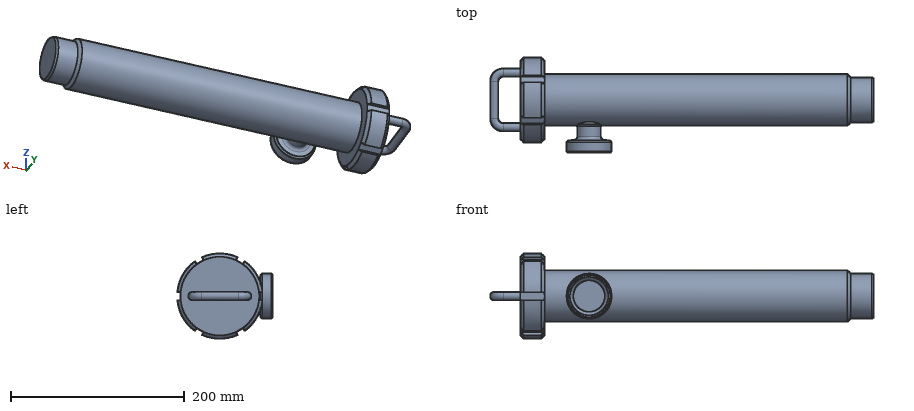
import cadquery as cq
import math

TOTAL_LENGTH = 442.0

TUBE_RADIUS = 59.5 / 2
TUBE_END = 411.5
SPIGOT_RADIUS = 26.0
SPIGOT_BEVEL_LENGTH = 2.5
SPIGOT_BEVEL_DEPTH = 1.5

NUT_START = 35.0
NUT_WIDTH = 28.0
NUT_RADIUS = 98.5 / 2
NUT_CHAMFER = 4.0
NUT_SLOTS = 6
SLOT_WIDTH = 9.5
SLOT_FLOOR_RADIUS = NUT_RADIUS - NUT_CHAMFER

ROD_RADIUS = 5.0
HANDLE_HALF_SPAN = 31.5
BEND_RADIUS = 10.0
ROD_EMBED = 2.0

BRANCH_X = 114.0
BRANCH_END = 61.0
NECK_RADIUS = 13.5
NECK_FILLET = 4.0
COLLAR_RADIUS = 16.5
COLLAR_END = 30.5
COLLAR_TAPER = 2.5
FLANGE_BACK = 46.0
FLANGE_RADIUS = 26.0
FLANGE_BACK_SLOPE = 0.5
FLANGE_SLOPE_RADIUS = 24.0
FLANGE_BACK_CHAMFER = 2.0
FLANGE_FRONT_CHAMFER = 1.8
RECESS_MOUTH_RADIUS = 22.0
RECESS_FLOOR_RADIUS = 18.0
RECESS_DEPTH = 4.5


def make_body():
    """Tube with a 45-degree shoulder down to the bevelled spigot."""
    shoulder_length = TUBE_RADIUS - SPIGOT_RADIUS
    profile = [
        (NUT_START, 0),
        (NUT_START, TUBE_RADIUS),
        (TUBE_END, TUBE_RADIUS),
        (TUBE_END + shoulder_length, SPIGOT_RADIUS),
        (TOTAL_LENGTH - SPIGOT_BEVEL_LENGTH, SPIGOT_RADIUS),
        (TOTAL_LENGTH, SPIGOT_RADIUS - SPIGOT_BEVEL_DEPTH),
        (TOTAL_LENGTH, 0),
    ]
    return cq.Workplane("XY").polyline(profile).close().revolve(360, (0, 0, 0), (1, 0, 0))


def make_nut():
    """Chamfered disc with evenly spaced slots, the first one facing +Y."""
    nut_plane = cq.Workplane("YZ", origin=(NUT_START, 0, 0))
    nut = nut_plane.circle(NUT_RADIUS).extrude(NUT_WIDTH).edges().chamfer(NUT_CHAMFER)
    slot_depth = 2 * NUT_CHAMFER
    slot = cq.Workplane("XY").box(NUT_WIDTH, slot_depth, SLOT_WIDTH).translate(
        (NUT_START + NUT_WIDTH / 2, SLOT_FLOOR_RADIUS + slot_depth / 2, 0)
    )
    for index in range(NUT_SLOTS):
        nut = nut.cut(slot.rotate((0, 0, 0), (1, 0, 0), index * 360 / NUT_SLOTS))
    return nut


def make_handle():
    """Round rod swept along a U with two rounded corners."""
    grip_x = ROD_RADIUS
    leg_end = NUT_START + ROD_EMBED
    bend_x = grip_x + BEND_RADIUS
    grip_half = HANDLE_HALF_SPAN - BEND_RADIUS
    bend_mid_x = bend_x - BEND_RADIUS * math.sqrt(0.5)
    bend_mid_y = grip_half + BEND_RADIUS * math.sqrt(0.5)
    path = (
        cq.Workplane("XY")
        .moveTo(leg_end, HANDLE_HALF_SPAN)
        .lineTo(bend_x, HANDLE_HALF_SPAN)
        .threePointArc((bend_mid_x, bend_mid_y), (grip_x, grip_half))
        .lineTo(grip_x, -grip_half)
        .threePointArc((bend_mid_x, -bend_mid_y), (bend_x, -HANDLE_HALF_SPAN))
        .lineTo(leg_end, -HANDLE_HALF_SPAN)
    )
    section = cq.Workplane("YZ", origin=(leg_end, HANDLE_HALF_SPAN, 0)).circle(ROD_RADIUS)
    return section.sweep(path)


def make_branch():
    """Neck with a tapered collar at the tube and a filleted, recessed flange at the free end."""
    fillet_mid_offset = NECK_FILLET * (1 - math.sqrt(0.5))
    neck_profile = [
        (0, 0),
        (COLLAR_RADIUS, 0),
        (COLLAR_RADIUS, COLLAR_END - COLLAR_TAPER),
        (NECK_RADIUS, COLLAR_END),
        (NECK_RADIUS, FLANGE_BACK - NECK_FILLET),
    ]
    flange_profile = [
        (FLANGE_SLOPE_RADIUS, FLANGE_BACK + FLANGE_BACK_SLOPE),
        (FLANGE_RADIUS, FLANGE_BACK + FLANGE_BACK_SLOPE + FLANGE_BACK_CHAMFER),
        (FLANGE_RADIUS, BRANCH_END - FLANGE_FRONT_CHAMFER),
        (FLANGE_RADIUS - FLANGE_FRONT_CHAMFER, BRANCH_END),
        (RECESS_MOUTH_RADIUS, BRANCH_END),
        (RECESS_FLOOR_RADIUS, BRANCH_END - RECESS_DEPTH),
        (0, BRANCH_END - RECESS_DEPTH),
    ]
    branch = (
        cq.Workplane("XY")
        .polyline(neck_profile)
        .threePointArc(
            (NECK_RADIUS + fillet_mid_offset, FLANGE_BACK - fillet_mid_offset),
            (NECK_RADIUS + NECK_FILLET, FLANGE_BACK),
        )
        .polyline(flange_profile, includeCurrent=True)
        .close()
        .revolve(360, (0, 0, 0), (0, 1, 0))
    )
    return branch.rotate((0, 0, 0), (0, 0, 1), 180).translate((BRANCH_X, 0, 0))


result = make_body().union(make_nut()).union(make_handle()).union(make_branch())